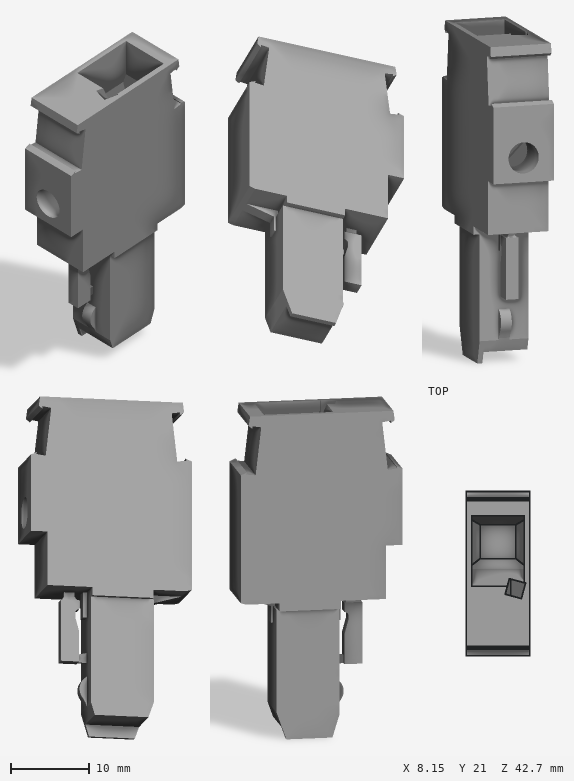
import cadquery as cq
import math

width = 8.15
depth = 21.0
height = 42.7

cap_half = 9.3
cap_lip_half = 9.5
cap_lip_z = 41.45
cap_lip_tip_half = 8.95
cap_lip_tip_z = 41.08
cap_under_z = 41.4
neck_top_half = 7.85
neck_top_z = 41.25
neck_base_half = 8.6
neck_base_z = 34.95
shoulder_groove_half = 9.8
shoulder_groove_z = 35.15
shoulder_edge_z = 35.05
shoulder_ridge_half = 9.7
shoulder_ridge_z = 35.4
front_block_bottom_z = 25.05
front_step_y = -8.33
housing_bottom_z = 18.05
back_bottom_z = 18.28

flange_back_y = 5.45
plug_front_y = -2.48
plug_top_z = 17.0
rib_width = 1.45
rib_front_y = -3.05
rib_back_y = 5.98
rib_bottom_z = 14.77
plug_width = 6.58
plug_back_y = 5.72
plug_front_taper_z = 3.07
plug_back_taper_z = 3.6
plug_tip_front_y = -1.55
plug_tip_back_y = 4.45
plug_short_z = 1.55
tip_strip_width = 0.7

bump_top_z = 7.1
bump_peak_y = -3.45
bump_peak_z = 5.42
bump_arc_end_y = -3.1
bump_arc_end_z = 4.35
bump_hollow_y = -2.8
bump_hollow_z = 3.9
bump_bottom_z = 3.35

pin_width = 1.7
pin_front_y = -5.9
pin_back_y = -3.55
pin_bottom_z = 8.95
pin_stem_width = 0.7
pin_stem_depth = 1.35
pin_flare_width = 1.25
pin_flare_depth = 2.05
pin_flare_top_z = 17.5
notch_top_z = 15.8
notch_deep_y = -4.05
notch_deep_bottom_z = 14.77
notch_bottom_z = 12.9
strut_width = 0.43
strut_top_z = 10.25
strut_drop = 0.2

funnel_width = 6.65
funnel_floor_width = 4.53
funnel_back_y = 7.4
funnel_back_slope_z = 37.28
funnel_floor_back_y = 6.25
funnel_floor_front_y = 1.92
funnel_front_knee_y = 0.6
funnel_front_knee_z = 36.98
funnel_front_y = -1.62
funnel_floor_z = 35.25
funnel_side_z = 36.35

tool_slot_x = 2.2
tool_slot_y = -1.92
tool_slot_length = 2.15
tool_slot_width = 2.05
tool_slot_turn = -15
tool_slot_floor_z = 37.58
tool_slot_ramp_x = 1.62
tool_slot_ramp_rise = 0.85

screw_z = 28.25
screw_diameter = 4.05
screw_hole_depth = 4.7
screw_slot_width = 0.73
screw_slot_depth = 0.65
screw_slot_angle = 45

front_y = -depth / 2
back_y = depth / 2


def side_plate(outline, plate_width):
    """Extrude a (y, z) outline symmetrically about the plane x = 0."""
    return cq.Workplane("YZ").polyline(outline).close().extrude(plate_width / 2, both=True)


def block(x_range, y_range, z_range):
    """Box given by its limits along each axis."""
    (x0, x1), (y0, y1), (z0, z1) = x_range, y_range, z_range
    return cq.Workplane("XY").box(x1 - x0, y1 - y0, z1 - z0, centered=False).translate((x0, y0, z0))


def centred_block(block_width, y_range, z_range):
    return block((-block_width / 2, block_width / 2), y_range, z_range)


def make_housing():
    cap_and_shoulder = [
        (cap_half, height),
        (cap_lip_half, cap_lip_z),
        (cap_lip_tip_half, cap_lip_tip_z),
        (cap_lip_tip_half, cap_under_z),
        (neck_top_half, neck_top_z),
        (neck_base_half, neck_base_z),
        (shoulder_groove_half, shoulder_groove_z),
        (shoulder_ridge_half, shoulder_ridge_z),
        (back_y, shoulder_edge_z),
    ]
    slope = (back_bottom_z - plug_top_z) / (back_y - rib_back_y)
    slope_end_y = back_y - (back_bottom_z - housing_bottom_z) / slope
    lower_edge = [
        (back_y, back_bottom_z),
        (slope_end_y, housing_bottom_z),
        (flange_back_y, housing_bottom_z),
        (flange_back_y, plug_top_z),
        (plug_front_y, plug_top_z),
        (plug_front_y, housing_bottom_z),
        (front_step_y, housing_bottom_z),
        (front_step_y, front_block_bottom_z),
        (front_y, front_block_bottom_z),
    ]
    front_edge = [(-y, z) for y, z in reversed(cap_and_shoulder)]
    return side_plate(cap_and_shoulder + lower_edge + front_edge, width)


def make_rib():
    """Centre rib between housing and plug, with a sloped gusset at the back."""
    outline = [
        (rib_front_y, housing_bottom_z),
        (rib_front_y, rib_bottom_z),
        (rib_back_y, rib_bottom_z),
        (rib_back_y, plug_top_z),
        (back_y, back_bottom_z),
        (rib_front_y, back_bottom_z),
    ]
    return side_plate(outline, rib_width)


def make_plug():
    outline = [
        (plug_front_y, plug_top_z),
        (plug_front_y, plug_front_taper_z),
        (plug_tip_front_y, 0),
        (plug_tip_back_y, 0),
        (plug_back_y, plug_back_taper_z),
        (plug_back_y, plug_top_z),
    ]
    shortening = block(
        (-plug_width / 2 + tip_strip_width, plug_width / 2),
        (plug_front_y, plug_back_y),
        (0, plug_short_z),
    )
    return side_plate(outline, plug_width).cut(shortening)


def make_bump():
    """Rounded bump that runs out at the bottom into the plane of the plug's front taper."""
    taper_slope = (plug_front_y - plug_tip_front_y) / plug_front_taper_z
    bump_bottom_y = plug_tip_front_y + taper_slope * bump_bottom_z
    profile = (
        cq.Workplane("YZ")
        .moveTo(plug_front_y, bump_top_z)
        .threePointArc((bump_peak_y, bump_peak_z), (bump_arc_end_y, bump_arc_end_z))
        .threePointArc((bump_hollow_y, bump_hollow_z), (bump_bottom_y, bump_bottom_z))
        .lineTo(plug_front_y, plug_front_taper_z)
        .lineTo(0, plug_front_taper_z)
        .lineTo(0, bump_top_z)
        .close()
    )
    return profile.extrude(rib_width / 2, both=True)


def make_coding_pin():
    """Pin hung from the housing on a flared stem and tied to the plug by a strut."""
    notch_radius = pin_back_y - notch_deep_y
    notch_centre_z = notch_top_z - notch_radius
    arc_middle = notch_radius * math.sin(math.pi / 4)
    body = (
        cq.Workplane("YZ")
        .moveTo(pin_front_y, plug_top_z)
        .lineTo(pin_back_y, plug_top_z)
        .lineTo(pin_back_y, notch_top_z)
        .threePointArc(
            (pin_back_y - arc_middle, notch_centre_z + arc_middle),
            (notch_deep_y, notch_centre_z),
        )
        .lineTo(notch_deep_y, notch_deep_bottom_z)
        .lineTo(pin_back_y, notch_bottom_z)
        .lineTo(pin_back_y, pin_bottom_z)
        .lineTo(pin_front_y, pin_bottom_z)
        .close()
        .extrude(pin_width / 2, both=True)
    )
    centre_y = (pin_front_y + pin_back_y) / 2
    flare = (
        cq.Workplane("XY", origin=(0, centre_y, plug_top_z))
        .rect(pin_flare_width, pin_flare_depth)
        .workplane(offset=pin_flare_top_z - plug_top_z)
        .rect(pin_stem_width, pin_stem_depth)
        .loft()
    )
    stem_half = pin_stem_depth / 2
    stem = centred_block(
        pin_stem_width,
        (centre_y - stem_half, centre_y + stem_half),
        (pin_flare_top_z, back_bottom_z),
    )
    strut_outline = [
        (plug_front_y, pin_bottom_z),
        (plug_front_y, strut_top_z),
        (pin_back_y, strut_top_z - strut_drop),
        (pin_back_y, pin_bottom_z),
    ]
    return body.union(flare).union(stem).union(side_plate(strut_outline, strut_width))


def make_wire_funnel():
    """Opening whose four walls slope in to a smaller rectangular floor."""
    well = side_plate(
        [
            (funnel_back_y, height),
            (funnel_back_y, funnel_back_slope_z),
            (funnel_floor_back_y, funnel_floor_z),
            (funnel_floor_front_y, funnel_floor_z),
            (funnel_front_knee_y, funnel_front_knee_z),
            (funnel_front_y, height),
        ],
        funnel_width,
    )
    half = funnel_width / 2
    floor_half = funnel_floor_width / 2
    side_limits = (
        cq.Workplane("XZ", origin=(0, funnel_back_y, 0))
        .polyline(
            [
                (-half, height),
                (-half, funnel_side_z),
                (-floor_half, funnel_floor_z),
                (floor_half, funnel_floor_z),
                (half, funnel_side_z),
                (half, height),
            ]
        )
        .close()
        .extrude(funnel_back_y - funnel_front_y)
    )
    return well.intersect(side_limits)


def make_tool_slot():
    """Turned square pocket with a 45 degree ramp along the -X side of its floor."""
    pocket = (
        cq.Workplane("XY", origin=(tool_slot_x, tool_slot_y, tool_slot_floor_z))
        .transformed(rotate=(0, 0, tool_slot_turn))
        .rect(tool_slot_length, tool_slot_width)
        .extrude(height - tool_slot_floor_z)
    )
    ramp = (
        cq.Workplane("XZ", origin=(0, tool_slot_y, 0))
        .moveTo(tool_slot_ramp_x, tool_slot_floor_z)
        .line(-tool_slot_ramp_rise, tool_slot_ramp_rise)
        .line(0, -tool_slot_ramp_rise)
        .close()
        .extrude(tool_slot_length, both=True)
    )
    return pocket.cut(ramp)


def make_screw_opening():
    """Round hole down to the screw head, with the driver slot in its floor."""
    floor_y = front_y + screw_hole_depth
    hole = (
        cq.Workplane("XZ", origin=(0, floor_y, screw_z))
        .circle(screw_diameter / 2)
        .extrude(screw_hole_depth)
    )
    slot_end_y = floor_y + screw_slot_depth
    slot = (
        cq.Workplane("XZ", origin=(0, slot_end_y, screw_z))
        .transformed(rotate=(0, 0, screw_slot_angle))
        .rect(screw_diameter, screw_slot_width)
        .extrude(screw_slot_depth)
    )
    slot_limit = (
        cq.Workplane("XZ", origin=(0, slot_end_y, screw_z))
        .circle(screw_diameter / 2)
        .extrude(screw_slot_depth)
    )
    return hole.union(slot.intersect(slot_limit))


result = make_housing()
for added_part in (make_rib(), make_plug(), make_bump(), make_coding_pin()):
    result = result.union(added_part)
for opening in (make_wire_funnel(), make_tool_slot(), make_screw_opening()):
    result = result.cut(opening)